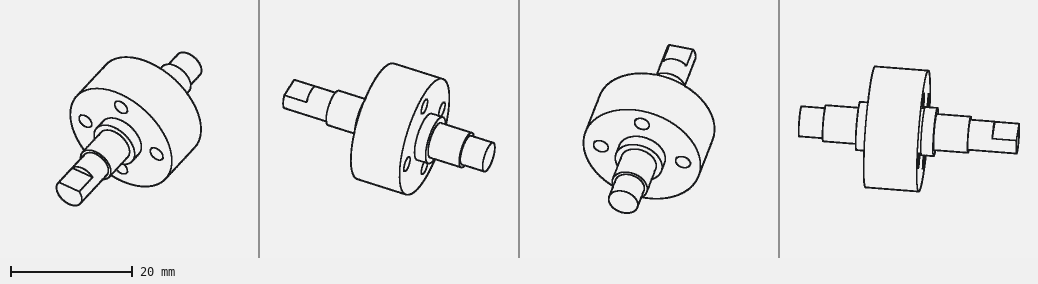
import cadquery as cq

overall_length = 36.0

flange_diameter = 20.0
collar_diameter = 8.0
bearing_seat_diameter = 6.0
shaft_end_diameter = 5.0

drive_end_length = 8.0
plain_end_length = 4.0
bearing_seat_length = 5.6
collar_length = 2.0
flange_length = (
    overall_length - drive_end_length - plain_end_length
    - 2 * (bearing_seat_length + collar_length)
)

hole_diameter = 2.5
hole_circle_radius = 7.0
hole_count = 4

flat_length = 4.0
flat_height = 1.5

drive_end_y = -overall_length / 2
flange_start_y = drive_end_y + drive_end_length + bearing_seat_length + collar_length


def cylinder_along_y(diameter, start_y, length):
    start = cq.Vector(0, start_y, 0)
    return cq.Workplane(cq.Solid.makeCylinder(diameter / 2, length, start, cq.Vector(0, 1, 0)))


def stepped_shaft():
    """Cylindrical steps stacked from the drive end towards +Y."""
    steps = [
        (shaft_end_diameter, drive_end_length),
        (bearing_seat_diameter, bearing_seat_length),
        (collar_diameter, collar_length),
        (flange_diameter, flange_length),
        (collar_diameter, collar_length),
        (bearing_seat_diameter, bearing_seat_length),
        (shaft_end_diameter, plain_end_length),
    ]
    shaft = cq.Workplane()
    start_y = drive_end_y
    for diameter, length in steps:
        shaft = shaft.union(cylinder_along_y(diameter, start_y, length))
        start_y += length
    return shaft


def flange_holes():
    """Through holes evenly spaced around the flange, the first one on +X."""
    centres = cq.Workplane("XZ", origin=(0, flange_start_y, 0)).polarArray(
        hole_circle_radius, 0, 360, hole_count
    )
    return centres.circle(hole_diameter / 2).extrude(-flange_length)


def drive_flat():
    """Block removed above the flat at the tip of the drive end."""
    cut_height = shaft_end_diameter / 2 - flat_height
    return cq.Workplane(origin=(0, drive_end_y, flat_height)).box(
        shaft_end_diameter, flat_length, cut_height, centered=(True, False, False)
    )


result = stepped_shaft().cut(flange_holes()).cut(drive_flat())